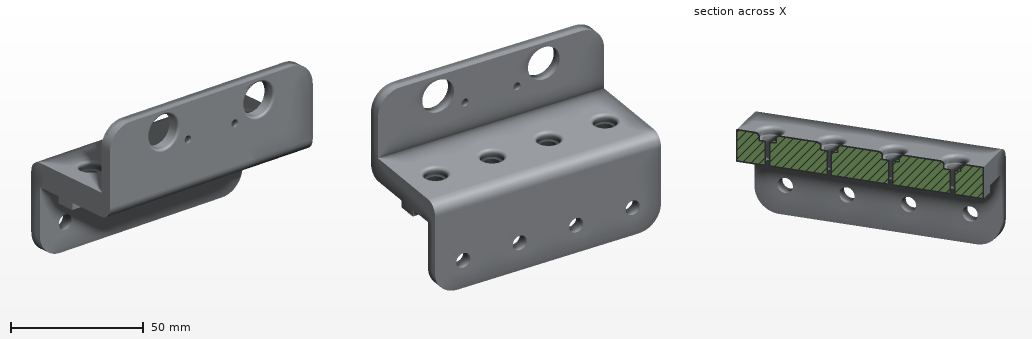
import cadquery as cq

length = 100.0
depth = 46.0
height = 68.0
wall = 5.0
upper_flange_x = depth - wall
shelf_bottom = 30.0
shelf_thickness = 10.0
shelf_top = shelf_bottom + shelf_thickness
bend_radius = 5.0
corner_radius = 10.0

key_width = 8.0
key_depth = 3.0
key_bottom = shelf_bottom - key_depth

bolt_count = 4
bolt_pitch = length / bolt_count
bolt_diameter = 6.2
bolt_row_x = 20.0
bolt_row_z = 12.0
counterbore_diameter = 9.0
counterbore_depth = 3.0
counterbore_lip_radius = 1.5

opening_diameter = 14.0
opening_offset = 23.4
opening_z = 59.0
opening_lip_radius = 1.0
screw_diameter = 3.2
screw_offset = 11.5
screw_z = 52.6


def round_edge_at(body, center, radius):
    """Fillet the edge whose centre is nearest to the given point."""
    nearest = cq.selectors.NearestToPointSelector(center)
    return body.edges(nearest).fillet(radius)


def make_body():
    """Z-shaped section with rounded outer bends, extruded along Y."""
    section = (
        cq.Workplane("XZ", origin=(0, length / 2, 0))
        .polyline([
            (0, 0),
            (wall, 0),
            (wall, shelf_bottom),
            (depth, shelf_bottom),
            (depth, height),
            (upper_flange_x, height),
            (upper_flange_x, shelf_top),
            (0, shelf_top),
        ])
        .close()
        .extrude(length)
    )
    body = round_edge_at(section, (0, 0, shelf_top), bend_radius)
    body = round_edge_at(body, (depth, 0, shelf_bottom), bend_radius)
    return body.edges("|X and (>Z or <Z)").fillet(corner_radius)


def make_key():
    """Locating key running along the underside of the shelf, centred on the bolt row."""
    key_base = cq.Workplane("XY", origin=(bolt_row_x, 0, key_bottom))
    return key_base.rect(key_width, length).extrude(key_depth)


def cut_shelf_bolt(body, y):
    """Counterbored hole through shelf and key, with a rounded lip at the top."""
    bore = cq.Workplane("XY", origin=(bolt_row_x, y, key_bottom))
    bore = bore.circle(bolt_diameter / 2).extrude(shelf_top - key_bottom)
    counterbore = cq.Workplane("XY", origin=(bolt_row_x, y, shelf_top))
    counterbore = counterbore.circle(counterbore_diameter / 2).extrude(-counterbore_depth)
    body = body.cut(bore).cut(counterbore)
    return round_edge_at(body, (bolt_row_x, y, shelf_top), counterbore_lip_radius)


def cut_flange_hole(body, start_x, y, z, diameter):
    """Straight hole through one flange, starting at its -X face."""
    hole = cq.Workplane("YZ", origin=(start_x, y, z)).circle(diameter / 2).extrude(wall)
    return body.cut(hole)


def cut_opening(body, y):
    """Large opening with a rounded lip on the +X face of the upper flange."""
    body = cut_flange_hole(body, upper_flange_x, y, opening_z, opening_diameter)
    return round_edge_at(body, (depth, y, opening_z), opening_lip_radius)


result = make_body().union(make_key())

for index in range(bolt_count):
    bolt_y = (index - (bolt_count - 1) / 2) * bolt_pitch
    result = cut_shelf_bolt(result, bolt_y)
    result = cut_flange_hole(result, 0, bolt_y, bolt_row_z, bolt_diameter)

for side in (-1, 1):
    result = cut_opening(result, side * opening_offset)
    result = cut_flange_hole(result, upper_flange_x, side * screw_offset, screw_z, screw_diameter)